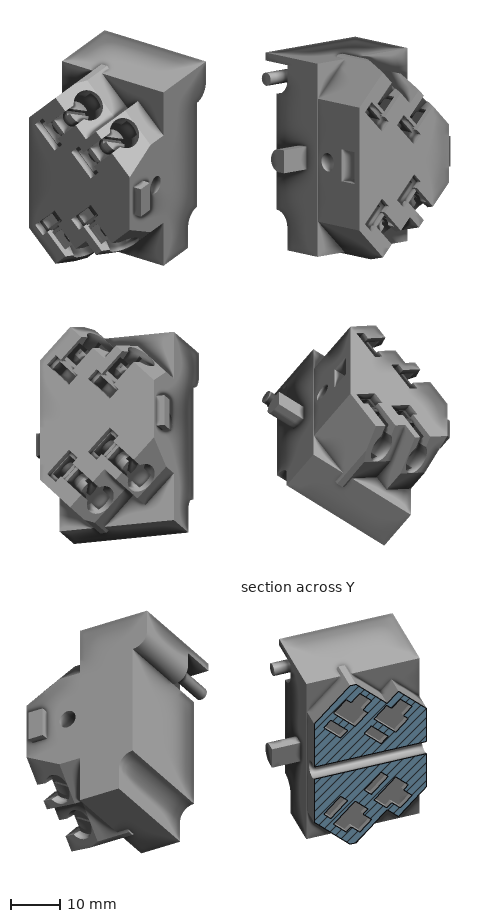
import cadquery as cq
import math


width = 24.65
height = 40.15
flange_front = 12.6
foot_back = 21.8
wall_back = 25.1
hood_back = 28.5
hood_bottom = 18.4
hinge_z = 15.35
hinge_radius = 3.35
hinge_recess = 8.2

pin_radius = 1.35
pin_reach = 2.8
plunger_radius = 2.4
plunger_reach = 6.2
plunger_front = 16.0
plunger_back = 19.9
tab_reach = 1.73
tab_height = 6.33
tab_y = (1.48, 4.85)
window_height = 6.6
window_y = (1.5, 5.42)
window_depth = 3.45
cross_hole_radius = 1.9
cross_hole_y = 9.7

block_left = 0.15
block_height = 41.1
block_back = 15.2
corner_offset = 8.9
step_offset = 1.55
inner_face = 21.08
outer_face = 24.57
face_tilt = 20.0
tilt_start = 7.75

inner_terminal_offset = 3.75
outer_terminal_offset = -5.2
screw_depth = 5.18
slot_width = 3.55
slot_end = 1.3
slot_floor = 9.45
access_radius = 3.2
lip_depth = 1.15
head_pocket_span = (4.0, 7.8)
head_pocket_width = 6.57
groove_span = (8.45, 8.8)
groove_floor = 1.8
nut_pocket_span = (9.05, 11.65)
nut_pocket_width = 6.65
nut_pocket_floor = 1.7
nut_well_span = (9.45, 11.55)
nut_well_width = 5.1
head_radius = 2.45
shank_radius = 1.75
head_span = (4.75, 6.33)
cone_end = 7.8
drive_slot_width = 1.15
drive_slot_depth = 0.9
drive_slot_angle = 57.0

terminal_angle = 45.0

overlap = 0.4
far = 61.65


def box(x_span, y_span, z_span):
    """Box between the given limits."""
    spans = (x_span, y_span, z_span)
    sizes = [high - low for low, high in spans]
    return cq.Workplane("XY").box(*sizes, centered=False).translate(tuple(low for low, high in spans))


def centred(size):
    return (-size / 2, size / 2)


def rod(radius, x_span, y, z):
    """Cylinder along X."""
    start, end = x_span
    return cq.Workplane("YZ", origin=(start, y, z)).circle(radius).extrude(end - start)


def make_housing():
    top = height / 2
    notch_radius = wall_back - foot_back
    profile = (
        cq.Workplane("YZ")
        .moveTo(flange_front, -top)
        .lineTo(foot_back, -top)
        .lineTo(foot_back, -hinge_z)
        .radiusArc((wall_back, notch_radius - hinge_z), notch_radius)
        .lineTo(wall_back, hood_bottom)
        .lineTo(hood_back, hood_bottom)
        .lineTo(hood_back, top)
        .lineTo(flange_front, top)
        .close()
    )
    return profile.extrude(width)


def make_hinge(start, end):
    """Hinge lug under the hood: a round end with straight sides up to the hood."""
    y = hood_back - hinge_radius
    round_end = rod(hinge_radius, (start, end), y, hinge_z)
    cheeks = box((start, end), (y - hinge_radius, y + hinge_radius), (hinge_z, hood_bottom))
    below_hood = box((start, end), (0, far), (0, hood_bottom))
    return round_end.union(cheeks).intersect(below_hood)


def make_plunger():
    """Push rod with a round back and a flat front."""
    y = plunger_back - plunger_radius
    span = (-plunger_reach, overlap)
    flat_half = box(span, (plunger_front, y), centred(2 * plunger_radius))
    round_half = rod(plunger_radius, span, y, 0).intersect(box(span, (y, far), (-far, far)))
    return round_half.union(flat_half)


def corner_waste():
    """Material cut from one corner of the block, with X along the terminal axis."""
    block_end = block_back + overlap
    chamfer = box((-far, far), (-overlap, block_end), (corner_offset, far))
    lean = tilt_start * math.tan(math.radians(face_tilt))

    def beyond_face(distance, z_start, z_end):
        outline = [
            (distance - lean, 0),
            (distance, tilt_start),
            (distance, block_end),
            (far, block_end),
            (far, 0),
        ]
        return cq.Workplane("XY", origin=(0, 0, z_start)).polyline(outline).close().extrude(z_end - z_start)

    inner = beyond_face(inner_face, -step_offset, far)
    outer = beyond_face(outer_face, -far, -step_offset)
    return chamfer, inner, outer


def back_from_face(span):
    """Limits along the terminal axis for distances measured back from the face."""
    return (-span[1], -span[0])


def terminal_cavity():
    """Slot, pockets and access hole of a terminal whose face is at X = 0."""
    slot = box((-nut_pocket_span[0], -slot_end), (-overlap, lip_depth), centred(slot_width))
    deep_slot = box((-head_pocket_span[1], -slot_end), (-overlap, slot_floor), centred(slot_width))
    groove = box(back_from_face(groove_span), (-overlap, groove_floor), centred(slot_width))
    head_pocket = box(back_from_face(head_pocket_span), (lip_depth, slot_floor), centred(head_pocket_width))
    nut_pocket = box(back_from_face(nut_pocket_span), (-overlap, nut_pocket_floor), centred(nut_pocket_width))
    undercut_span = (groove_span[1], nut_pocket_span[1])
    undercut = box(back_from_face(undercut_span), (lip_depth, nut_pocket_floor), centred(nut_pocket_width))
    nut_well = box(back_from_face(nut_well_span), (-overlap, slot_floor), centred(nut_well_width))

    access = (
        rod(access_radius, (-far, far), -access_radius, 0)
        .rotate((0, 0, 0), (0, 0, 1), -face_tilt)
        .translate((0, tilt_start, 0))
        .intersect(box((-head_pocket_span[0], far), (-overlap, slot_floor), (-far, far)))
    )
    cavity = slot
    for space in (deep_slot, groove, head_pocket, nut_pocket, undercut, nut_well, access):
        cavity = cavity.union(space)
    return cavity


def terminal_screw():
    """Countersunk screw along X, with its shank bridging the nut well."""
    axis_end = -nut_pocket_span[1] - overlap
    half_section = [
        (axis_end, 0),
        (axis_end, shank_radius),
        (-cone_end, shank_radius),
        (-head_span[1], head_radius),
        (-head_span[0], head_radius),
        (-head_span[0], 0),
    ]
    screw = cq.Workplane("XY").polyline(half_section).close().revolve(360, (0, 0, 0), (1, 0, 0))
    slot_span = (-head_span[0] - drive_slot_depth, 0)
    drive_slot = box(slot_span, centred(drive_slot_width), centred(3 * head_radius))
    drive_slot = drive_slot.rotate((0, 0, 0), (1, 0, 0), drive_slot_angle)
    return screw.cut(drive_slot).translate((0, screw_depth, 0))


def make_block():
    block = box((block_left, width), (0, block_back), centred(block_height))
    cavity = terminal_cavity()
    screw = terminal_screw()
    terminals = ((inner_face, inner_terminal_offset), (outer_face, outer_terminal_offset))

    for side in (1, -1):
        angle = -terminal_angle * side
        for waste in corner_waste():
            if side < 0:
                waste = waste.mirror("XY")
            block = block.cut(waste.rotate((0, 0, 0), (0, 1, 0), angle))
        for face, offset in terminals:
            place = (face, 0, side * offset)
            block = block.cut(cavity.translate(place).rotate((0, 0, 0), (0, 1, 0), angle))
            block = block.union(screw.translate(place).rotate((0, 0, 0), (0, 1, 0), angle))
    return block


hinge_y = hood_back - hinge_radius
result = (
    make_housing()
    .cut(make_hinge(0, hinge_recess))
    .union(make_hinge(hinge_recess, width))
    .union(rod(pin_radius, (-pin_reach, hinge_recess + overlap), hinge_y, hinge_z))
    .union(make_plunger())
    .union(make_block())
    .union(box((width - overlap, width + tab_reach), tab_y, centred(tab_height)))
    .cut(box((0, block_left + window_depth), window_y, centred(window_height)))
    .cut(rod(cross_hole_radius, (-overlap, width + overlap), cross_hole_y, 0))
)